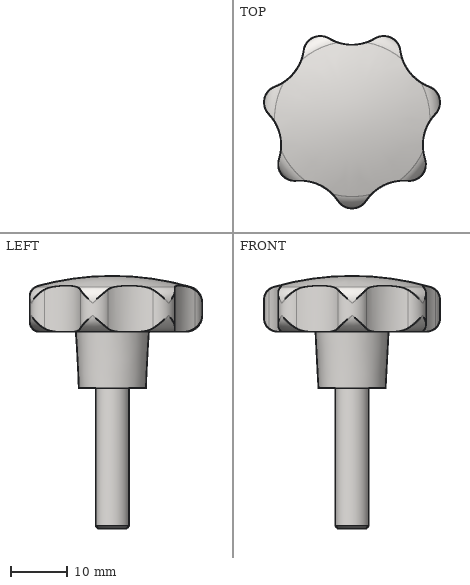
import cadquery as cq
import math

total_height = 45.0
stud_length = 25.0
hub_height = 10.0

lobe_count = 7
lobe_centre_radius = 13.0
lobe_radius = 3.0
valley_radius = 8.0
rim_fillet = 3.0
dome_radius = 50.0

hub_draft_angle = 3.0
hub_bottom_diameter = 12.0

stud_diameter = 6.0
stud_chamfer = 0.5

head_bottom = stud_length + hub_height
head_height = total_height - head_bottom
head_radius = lobe_centre_radius + lobe_radius
lobe_pitch = 2 * math.pi / lobe_count
hub_top_diameter = hub_bottom_diameter + 2 * hub_height * math.tan(math.radians(hub_draft_angle))


def polar(radius, angle):
    return (radius * math.cos(angle), radius * math.sin(angle))


def between(start, end, fraction):
    return tuple(a + (b - a) * fraction for a, b in zip(start, end))


def make_lobed_prism():
    """Prism whose outline alternates tangent convex lobes and concave valleys."""
    centre_gap = lobe_radius + valley_radius
    half_pitch = lobe_pitch / 2
    half_chord = lobe_centre_radius * math.sin(half_pitch)
    valley_centre_radius = lobe_centre_radius * math.cos(half_pitch) + math.sqrt(
        centre_gap**2 - half_chord**2
    )
    tangent_fraction = lobe_radius / centre_gap

    def tangent_point(lobe_angle, side):
        lobe_centre = polar(lobe_centre_radius, lobe_angle)
        valley_centre = polar(valley_centre_radius, lobe_angle + side * half_pitch)
        return between(lobe_centre, valley_centre, tangent_fraction)

    first_angle = -math.pi / 2
    outline = cq.Workplane("XY", origin=(0, 0, head_bottom)).moveTo(*tangent_point(first_angle, -1))
    for index in range(lobe_count):
        angle = first_angle + index * lobe_pitch
        lobe_tip = polar(head_radius, angle)
        valley_floor = polar(valley_centre_radius - valley_radius, angle + half_pitch)
        outline = outline.threePointArc(lobe_tip, tangent_point(angle, 1))
        outline = outline.threePointArc(valley_floor, tangent_point(angle + lobe_pitch, -1))
    return outline.close().extrude(head_height)


def make_domed_disc():
    """Disc with a spherical top and rounded rim, the rim arcs tangent to their neighbours."""
    dome_centre_z = total_height - dome_radius
    fillet_centre_r = head_radius - rim_fillet
    lower_fillet_z = head_bottom + rim_fillet
    upper_fillet_z = dome_centre_z + math.sqrt((dome_radius - rim_fillet) ** 2 - fillet_centre_r**2)
    rim_angle = math.asin(fillet_centre_r / (dome_radius - rim_fillet))

    def dome_point(angle):
        return (dome_radius * math.sin(angle), dome_centre_z + dome_radius * math.cos(angle))

    upper_mid_angle = (math.pi / 2 - rim_angle) / 2
    upper_mid_r, upper_mid_rise = polar(rim_fillet, upper_mid_angle)
    lower_mid_r, lower_mid_rise = polar(rim_fillet, -math.pi / 4)
    profile = (
        cq.Workplane("XZ")
        .moveTo(0, head_bottom)
        .lineTo(fillet_centre_r, head_bottom)
        .threePointArc(
            (fillet_centre_r + lower_mid_r, lower_fillet_z + lower_mid_rise),
            (head_radius, lower_fillet_z),
        )
        .lineTo(head_radius, upper_fillet_z)
        .threePointArc(
            (fillet_centre_r + upper_mid_r, upper_fillet_z + upper_mid_rise),
            dome_point(rim_angle),
        )
        .threePointArc(dome_point(rim_angle / 2), (0, total_height))
        .close()
    )
    return profile.revolve(360, (0, 0, 0), (0, 1, 0))


def make_hub_and_stud():
    """Chamfered stud with the hub that widens up to the underside of the head."""
    stud_radius = stud_diameter / 2
    profile = (
        cq.Workplane("XZ")
        .moveTo(0, 0)
        .lineTo(stud_radius - stud_chamfer, 0)
        .lineTo(stud_radius, stud_chamfer)
        .lineTo(stud_radius, stud_length)
        .lineTo(hub_bottom_diameter / 2, stud_length)
        .lineTo(hub_top_diameter / 2, head_bottom)
        .lineTo(0, head_bottom)
        .close()
    )
    return profile.revolve(360, (0, 0, 0), (0, 1, 0))


head = make_domed_disc().intersect(make_lobed_prism())
result = head.union(make_hub_and_stud())